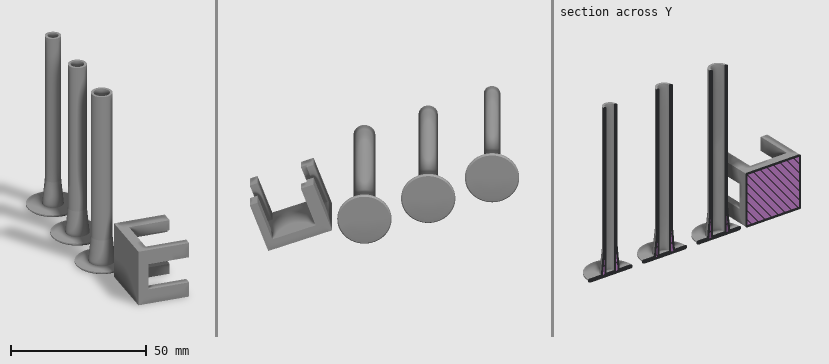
import cadquery as cq

flange_diameter = 20.0
flange_thickness = 1.0
flange_chamfer = 0.5
cone_height = 10.0
tube_top = 70.0
tube_spacing = 25.0
tube_diameters = [6.0, 7.0, 8.0]
tube_wall = 1.0
cone_flare = 1.0

bracket_width = 25.0
bracket_depth = 20.0
bracket_height = 22.0
back_thickness = 4.0
left_arm_thickness = 5.0
right_arm_thickness = 3.0
arm_height = 5.85
ledge_width = 2.7
ledge_step = 1.8
overall_length = 97.5
bracket_x = overall_length - bracket_width


def make_tube(center_x, tube_diameter):
    """Flanged tube with a conical foot and a blind bore down to the flange."""
    tube_radius = tube_diameter / 2
    bore_radius = tube_radius - tube_wall
    foot_radius = tube_radius + cone_flare
    flange_radius = flange_diameter / 2
    cone_top = flange_thickness + cone_height
    profile = (
        cq.Workplane("XZ")
        .moveTo(0, 0)
        .lineTo(flange_radius - flange_chamfer, 0)
        .lineTo(flange_radius, flange_chamfer)
        .lineTo(flange_radius, flange_thickness)
        .lineTo(foot_radius, flange_thickness)
        .lineTo(tube_radius, cone_top)
        .lineTo(tube_radius, tube_top)
        .lineTo(bore_radius, tube_top)
        .lineTo(bore_radius, flange_thickness)
        .lineTo(0, flange_thickness)
        .close()
    )
    return profile.revolve().translate((center_x, 0, 0))


def make_bracket():
    """Upright plate with two pairs of arms pointing toward +Y."""
    block = cq.Workplane("XY").box(bracket_width, bracket_depth, bracket_height, centered=False)
    arm_length = bracket_depth - back_thickness
    channel = (
        cq.Workplane("XY")
        .box(
            bracket_width - left_arm_thickness - right_arm_thickness,
            arm_length,
            bracket_height,
            centered=False,
        )
        .translate((left_arm_thickness, back_thickness, 0))
    )
    arm_gap = (
        cq.Workplane("XY")
        .box(bracket_width, arm_length, bracket_height - 2 * arm_height, centered=False)
        .translate((0, back_thickness, arm_height))
    )
    ledge_gap = (
        cq.Workplane("XY")
        .box(
            left_arm_thickness - ledge_width,
            arm_length,
            bracket_height - 2 * (arm_height - ledge_step),
            centered=False,
        )
        .translate((ledge_width, back_thickness, arm_height - ledge_step))
    )
    return block.cut(channel).cut(arm_gap).cut(ledge_gap).translate((bracket_x, 0, 0))


tubes = []
for index, tube_diameter in enumerate(tube_diameters):
    center_x = flange_diameter / 2 + index * tube_spacing
    tubes.append(make_tube(center_x, tube_diameter).val())

bracket = make_bracket()

result = cq.Compound.makeCompound([*tubes, bracket.val()])